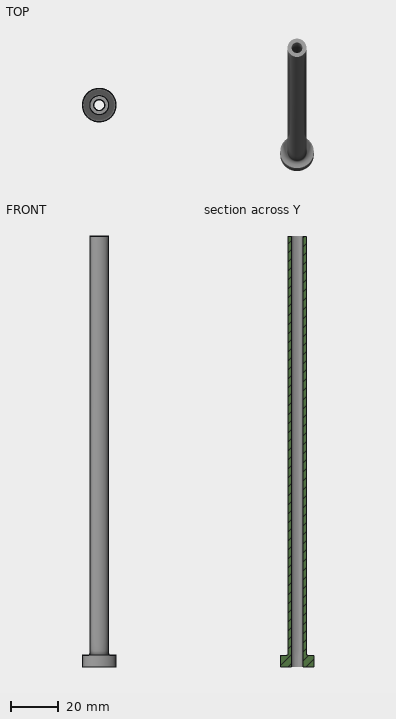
import cadquery as cq

total_length = 180.0
head_diameter = 14.0
head_height = 5.0
shaft_diameter = 8.0
bore_diameter = 4.5
fillet_radius = 0.5

head = cq.Workplane("XY").circle(head_diameter / 2).extrude(head_height)
shaft = cq.Workplane("XY").circle(shaft_diameter / 2).extrude(total_length)
body = head.union(shaft)

corner_reach = shaft_diameter / 2 + fillet_radius
corner_box = cq.selectors.BoxSelector(
    (-corner_reach, -corner_reach, head_height - fillet_radius),
    (corner_reach, corner_reach, head_height + fillet_radius),
    boundingbox=True,
)
body = body.edges(corner_box).fillet(fillet_radius)

bore = cq.Workplane("XY").circle(bore_diameter / 2).extrude(total_length)
result = body.cut(bore)